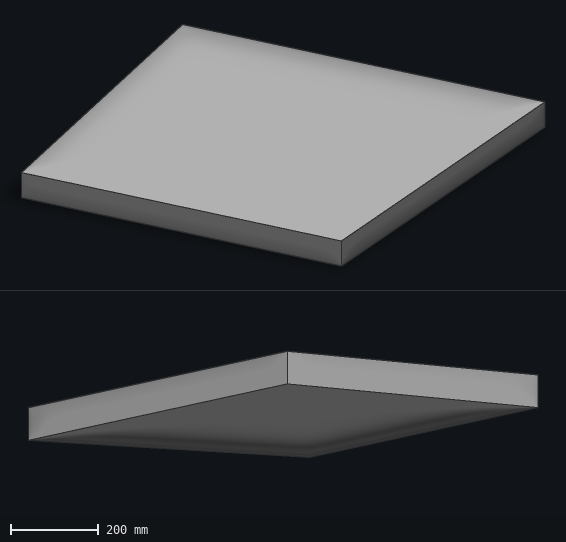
import cadquery as cq

overall_length = 1057.275
depth = 600.075
thickness = 76.2
front_edge_length = 765.175
left_edge_shift = 190.5

outline = [
    (0, 0),
    (front_edge_length, 0),
    (overall_length, depth),
    (left_edge_shift, depth),
]

result = cq.Workplane("XY").polyline(outline).close().extrude(thickness)